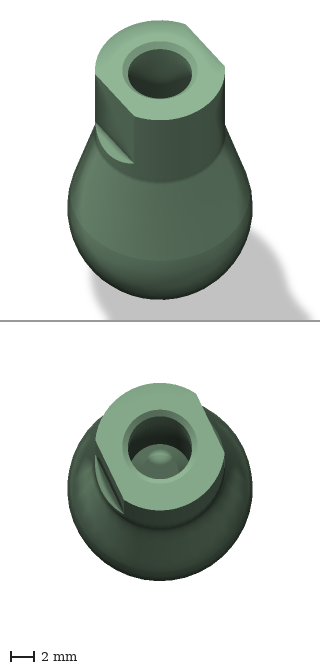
import cadquery as cq
import math

height = 25.4
ball_radius = 15.88 / 2
base_radius = 7.16 / 2
neck_radius = 11.13 / 2
cone_top_z = 16.92
neck_bottom_z = 17.3
cone_bottom_z = 9.12

flat_width = 9.52
flat_bottom_z = 19.05

bore_diameter = 5.49
bore_mouth_diameter = 6.45
boss_top_diameter = 3.23
bore_depth = 12.7

ball_center_z = math.sqrt(ball_radius**2 - base_radius**2)
cone_angle = math.asin((cone_bottom_z - ball_center_z) / ball_radius)
cone_bottom_radius = ball_radius * math.cos(cone_angle)
cone_top_radius = cone_bottom_radius - (cone_top_z - cone_bottom_z) * math.tan(cone_angle)


def make_body():
    """Revolve the ball, tangent cone and neck about Z."""
    return (
        cq.Workplane("XZ")
        .lineTo(base_radius, 0)
        .threePointArc((ball_radius, ball_center_z), (cone_bottom_radius, cone_bottom_z))
        .lineTo(cone_top_radius, cone_top_z)
        .tangentArcPoint((neck_radius, neck_bottom_z), relative=False)
        .lineTo(neck_radius, height)
        .lineTo(0, height)
        .close()
        .revolve(360, (0, 0), (0, 1))
    )


def make_flat_cutter(side):
    """Material outside one wrench flat, ending in a 45 degree runout."""
    inner_y = flat_width / 2
    runout = neck_radius - inner_y
    return (
        cq.Workplane("YZ")
        .moveTo(side * inner_y, height)
        .lineTo(side * inner_y, flat_bottom_z)
        .lineTo(side * neck_radius, flat_bottom_z - runout)
        .lineTo(side * neck_radius, height)
        .close()
        .extrude(neck_radius, both=True)
    )


def make_bore():
    """Bore with a 45 degree mouth chamfer and a 45 degree conical boss on its floor."""
    bore_radius = bore_diameter / 2
    mouth_radius = bore_mouth_diameter / 2
    boss_top_radius = boss_top_diameter / 2
    mouth_depth = mouth_radius - bore_radius
    boss_height = bore_radius - boss_top_radius
    floor_z = height - bore_depth
    return (
        cq.Workplane("XZ")
        .moveTo(0, height)
        .lineTo(mouth_radius, height)
        .lineTo(bore_radius, height - mouth_depth)
        .lineTo(bore_radius, floor_z)
        .lineTo(boss_top_radius, floor_z + boss_height)
        .lineTo(0, floor_z + boss_height)
        .close()
        .revolve(360, (0, 0), (0, 1))
    )


result = make_body().cut(make_bore())
for side in (-1, 1):
    result = result.cut(make_flat_cutter(side))